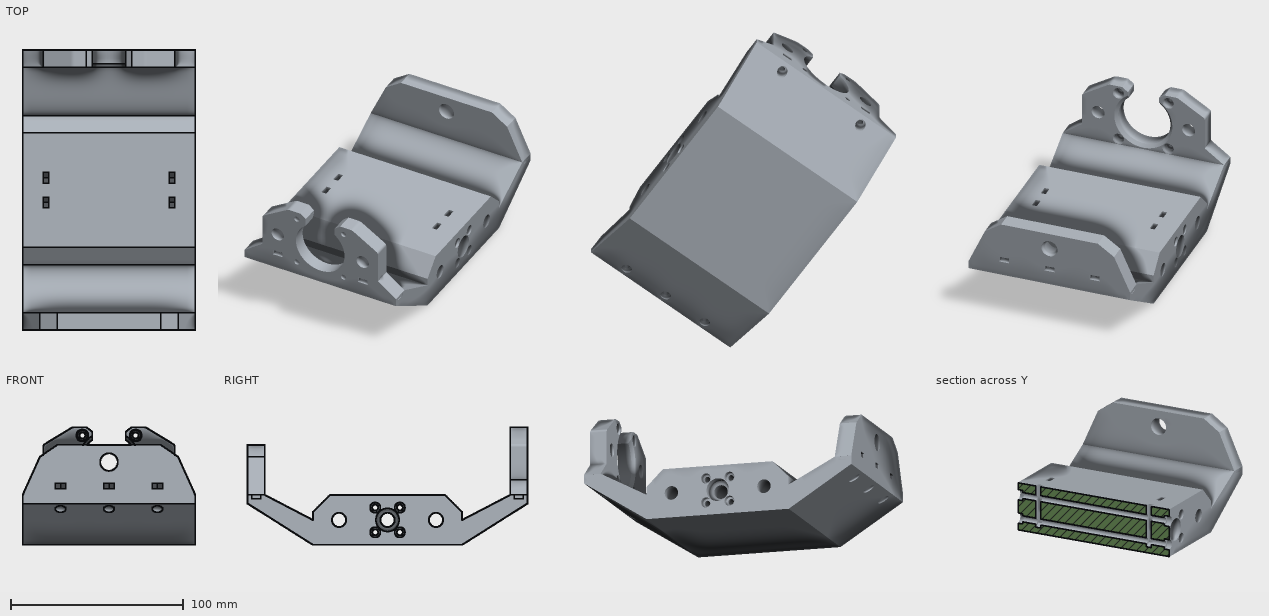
import cadquery as cq
import math

width = 100.0
length = 162.0
total_height = 68.2
end_y = length / 2
end_x = width / 2

deck_z = 29.0
deck_half = 33.2
block_half = 43.1
block_chamfer = block_half - deck_half
arm_root_z = deck_z / 2
arm_tip_z = 24.0
plate_thickness = 10.0
plate_inner_y = end_y - plate_thickness
plate_mid_y = end_y - plate_thickness / 2

axle_z = deck_z / 2
axle_diameter = 8.1
hole_pitch = 28.0
hub_diameter = 13.5
hub_depth = 6.5
flange_offset = 7.1
screw_diameter = 3.4
head_diameter = 6.0
flange_head_depth = 3.0

nut_width = 6.2
nut_thickness = 3.0
flange_nut_x = 36.5
plate_nut_z = 34.2

joint_screw_diameter = 3.2
joint_head_seat_z = 25.0
key_width = 5.3
key_height = 2.3
key_recess = 0.2

bore_z = 48.0
front_top_z = 57.8
front_shoulder_z = 51.0
front_shoulder_x = 40.0
front_top_x = 30.0
front_hole_diameter = 10.0

motor_foot_z = 37.7
motor_side_x = 38.0
motor_side_z = 57.8
motor_crest_x = 21.0
motor_side_fillet = 2.0
motor_crest_fillet = 4.0
mouth_top_x = 13.1
mouth_x = 9.5
mouth_lip_z = 65.5
bore_diameter = 32.0
bore_chamfer = 2.0
motor_screw_offset = 15.4
motor_head_depth = plate_thickness / 2
motor_head_chamfer = 0.5


def mirrored(half_outline):
    """Close a half outline with its mirror image about the Z axis."""
    return half_outline + [(-across, z) for across, z in reversed(half_outline)]


def plate(outline, outer_y, inner_y):
    """Extrude an XZ outline between two Y positions."""
    low_y = min(outer_y, inner_y)
    return (
        cq.Workplane("XZ", origin=(0, low_y, 0))
        .polyline(outline).close()
        .extrude(-abs(outer_y - inner_y))
    )


def rod_x(diameter, y, z, start_x, depth):
    """Cylinder along +X."""
    return cq.Workplane("YZ", origin=(start_x, y, z)).circle(diameter / 2).extrude(depth)


def rod_y(diameter, x, z, start_y, depth):
    """Cylinder along +Y."""
    return cq.Workplane("XZ", origin=(x, start_y, z)).circle(diameter / 2).extrude(-depth)


def rod_z(diameter, x, y, start_z, end_z):
    """Cylinder along +Z."""
    plane = cq.Workplane("XY", origin=(x, y, start_z))
    return plane.circle(diameter / 2).extrude(end_z - start_z)


def nut_outline(plane, reach):
    """Slot as wide as a nut, open at +reach and ending in the far corner of the hexagon."""
    half = nut_width / 2
    corner = nut_width / math.sqrt(3)
    return plane.polyline(
        [(half, reach), (-half, reach), (-half, -corner / 2), (0, -corner), (half, -corner / 2)]
    ).close()


def base_body():
    half_outline = [
        (block_half, 0),
        (end_y, arm_tip_z),
        (end_y, deck_z),
        (plate_inner_y, deck_z),
        (block_half, arm_root_z),
        (block_half, deck_z - block_chamfer),
        (deck_half, deck_z),
    ]
    profile = cq.Workplane("YZ", origin=(-end_x, 0, 0)).polyline(mirrored(half_outline)).close()
    return profile.extrude(width)


def cut_side_holes(body):
    for y in (-hole_pitch, 0, hole_pitch):
        body = body.cut(rod_x(axle_diameter, y, axle_z, -end_x, width))
    for start_x in (-end_x, end_x - hub_depth):
        body = body.cut(rod_x(hub_diameter, 0, axle_z, start_x, hub_depth))

    lower_z = axle_z - flange_offset
    for y in (-flange_offset, flange_offset):
        for z in (lower_z, axle_z + flange_offset):
            body = body.cut(rod_x(screw_diameter, y, z, -end_x, width))
            for start_x in (-end_x, end_x - flange_head_depth):
                body = body.cut(rod_x(head_diameter, y, z, start_x, flange_head_depth))
        for x in (-flange_nut_x, flange_nut_x):
            plane = cq.Workplane("YZ", origin=(x - nut_thickness / 2, y, lower_z))
            body = body.cut(nut_outline(plane, deck_z - lower_z).extrude(nut_thickness))
    return body


def front_plate():
    half_outline = [
        (end_x, deck_z),
        (front_shoulder_x, front_shoulder_z),
        (front_top_x, front_top_z),
    ]
    body = plate(mirrored(half_outline), -end_y, -plate_inner_y)
    return body.cut(rod_y(front_hole_diameter, 0, bore_z, -end_y, plate_thickness))


def countersink(diameter, x, z, size):
    """45 degree cone that chamfers a hole's edge on the inner face of the motor plate."""
    plane = cq.Workplane("XZ", origin=(x, plate_inner_y, z))
    return plane.circle(diameter / 2 + size).extrude(-size, taper=45)


def motor_plate():
    half_outline = [
        (end_x, deck_z),
        (motor_side_x, motor_foot_z),
        (motor_side_x, motor_side_z),
        (motor_crest_x, total_height),
    ]
    body = plate(mirrored(half_outline), end_y, plate_inner_y)

    for side in (-1, 1):
        crest = cq.selectors.NearestToPointSelector((side * motor_crest_x, plate_mid_y, total_height))
        body = body.edges(crest).fillet(motor_crest_fillet)
        shoulder = cq.selectors.NearestToPointSelector((side * motor_side_x, plate_mid_y, motor_side_z))
        body = body.edges(shoulder).fillet(motor_side_fillet)

    mouth = [
        (mouth_x, bore_z),
        (mouth_x, mouth_lip_z),
        (mouth_top_x, total_height),
    ]
    body = body.cut(plate(mirrored(mouth), end_y, plate_inner_y))
    body = body.cut(rod_y(bore_diameter, 0, bore_z, plate_inner_y, plate_thickness))
    body = body.cut(countersink(bore_diameter, 0, bore_z, bore_chamfer))

    for x in (-motor_screw_offset, motor_screw_offset):
        for z in (bore_z - motor_screw_offset, bore_z + motor_screw_offset):
            body = body.cut(rod_y(screw_diameter, x, z, plate_inner_y, plate_thickness))
            body = body.cut(rod_y(head_diameter, x, z, plate_inner_y, motor_head_depth))
            body = body.cut(countersink(head_diameter, x, z, motor_head_chamfer))
    for x in (-hole_pitch, hole_pitch):
        body = body.cut(rod_y(axle_diameter, x, bore_z, plate_inner_y, plate_thickness))
    return body


def cut_plate_joints(body):
    """Screws from below into nut traps, and the recessed key ends, at both plates."""
    for side in (-1, 1):
        y = side * plate_mid_y
        rows = (-hole_pitch, 0, hole_pitch) if side < 0 else (-hole_pitch, hole_pitch)
        for x in rows:
            body = body.cut(rod_z(head_diameter, x, y, 0, joint_head_seat_z))
            body = body.cut(rod_z(joint_screw_diameter, x, y, 0, plate_nut_z))
            plane = cq.Workplane("XY", origin=(x, y, plate_nut_z - nut_thickness / 2))
            trap = nut_outline(plane, plate_thickness / 2).extrude(nut_thickness)
            if side < 0:
                trap = trap.rotate((x, y, 0), (x, y, 1), 180)
            body = body.cut(trap)
        for x in (-end_x, end_x):
            key_end = cq.Workplane("XY").box(2 * key_recess, key_width, key_height)
            body = body.cut(key_end.translate((x, y, deck_z - key_height / 2)))
    return body


bracket = cut_side_holes(base_body())
bracket = bracket.union(front_plate()).union(motor_plate())
result = cut_plate_joints(bracket)